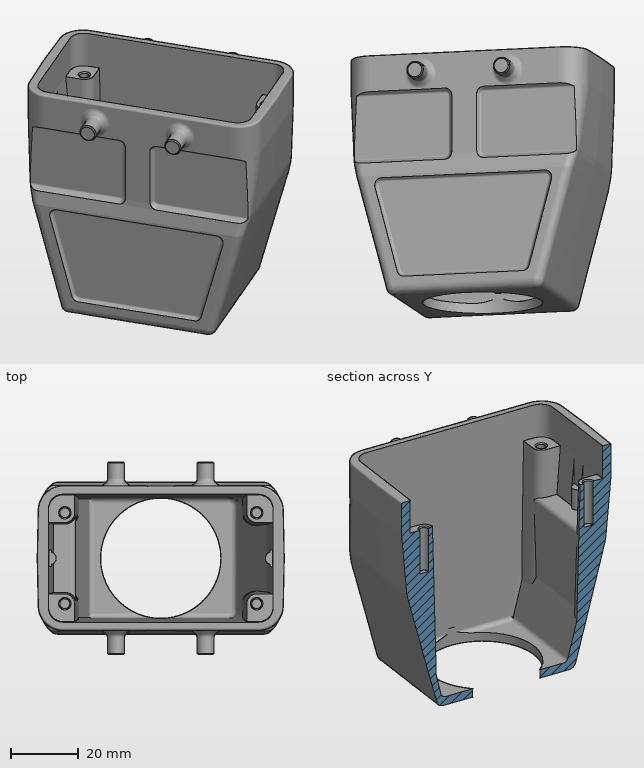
import cadquery as cq
import math

height = 72.0
half_length = 36.6
ridge = 0.3
pin_tip = 28.51

collar_z = 61.1
waist_z = 40.5
shoulder_z = 35.5

collar_y = 21.4
body_y = 22.51
waist_x = 34.7
end_slope = 0.267
collar_radius = 7.3
waist_radius = 2.8
body_radius = 2.5
waist_band = 1.75
bottom_fillet = 2.35
rim_fillet = 0.6

wall_x = 3.1
floor_z = 2.9
cavity_rim_y = 18.95
cavity_floor_y = 17.7
cavity_floor_x = 22.25
cavity_radius = 2.2
floor_fillet = 1.5
cable_hole_diameter = 35.6

pillar_x = 28.4
pillar_y = 13.5
pillar_radius = 2.9
pillar_top = collar_z
pillar_draft = 1.5
screw_diameter = 2.9
screw_depth = 14.65
screw_chamfer = 0.4

shelf_top = 45.4
shelf_inner_x = 25.2
shelf_foot_x = 20.9
shelf_foot_top = 19.0
shelf_fillet = 1.5

rib_radius = 1.9
rib_x = 32.9
channel_x = 33.15
channel_width = 5.0
rib_top = 52.2

pin_x = 13.25
pin_z = 65.8
pin_radius = 2.525
pin_flare = 2.2
pin_flare_radius = 1.5
pin_chamfer = 0.4

window_inner_x = 3.8
window_bottom = 39.8
window_depth = 1.4
trapezoid_top = 34.85
trapezoid_bottom = 4.9
trapezoid_margin = 5.4
trapezoid_depth = 1.1
panel_corner = 2.2
panel_draft = 35.0
panel_floor_fillet = 0.6


def end_x(z):
    """Half length of the outside at the end ridge, below the waist."""
    return waist_x - end_slope * (waist_z - z)


def section(half_x, half_y, radius, z, crown=0.0):
    """Rounded rectangle at height z; crown lifts the middle of both end sides."""
    x = half_x - crown
    bend = radius * (1 - math.sqrt(0.5))
    flat_x = x - radius
    flat_y = half_y - radius
    return (
        cq.Workplane("XY", origin=(0, 0, z))
        .moveTo(half_x, 0)
        .lineTo(x, flat_y)
        .threePointArc((x - bend, half_y - bend), (flat_x, half_y))
        .lineTo(-flat_x, half_y)
        .threePointArc((-x + bend, half_y - bend), (-x, flat_y))
        .lineTo(-half_x, 0)
        .lineTo(-x, -flat_y)
        .threePointArc((-x + bend, -half_y + bend), (-flat_x, -half_y))
        .lineTo(flat_x, -half_y)
        .threePointArc((x - bend, -half_y + bend), (x, -flat_y))
        .close()
        .val()
    )


def stack(sections):
    return cq.Workplane(cq.Solid.makeLoft(sections, True))


def blend(low, high, z_low, z_high, z):
    """Value at height z on a straight line between two heights."""
    return low + (high - low) * (z - z_low) / (z_high - z_low)


def make_outside():
    under = waist_z - waist_band / 2
    over = waist_z + waist_band / 2
    under_y = blend(body_y, collar_y, shoulder_z, waist_z, under)
    under_radius = blend(body_radius, waist_radius, shoulder_z, waist_z, under)
    over_x = blend(waist_x, half_length, waist_z, collar_z, over)
    over_radius = blend(waist_radius, collar_radius, waist_z, collar_z, over)
    shape = stack([
        section(end_x(0) - ridge, body_y, body_radius, 0),
        section(end_x(shoulder_z), body_y, body_radius, shoulder_z, ridge),
        section(end_x(under), under_y, under_radius, under, ridge),
        section(over_x, collar_y, over_radius, over, ridge),
        section(half_length, collar_y, collar_radius, collar_z, ridge),
        section(half_length, collar_y, collar_radius, height, ridge),
    ])
    return shape.faces("<Z").edges().fillet(bottom_fillet).faces(">Z").edges().fillet(rim_fillet)


def make_cavity():
    """Tapered hollow, with the blocks that stand inside it left out."""
    rim_x = half_length - ridge - wall_x
    rim_radius = collar_radius - wall_x
    waist_y, collar_inner_y = (
        blend(cavity_floor_y, cavity_rim_y, floor_z, height, z) for z in (waist_z, collar_z)
    )
    hollow = stack([
        section(cavity_floor_x, cavity_floor_y, cavity_radius, floor_z),
        section(waist_x - ridge - wall_x, waist_y, cavity_radius, waist_z),
        section(rim_x, collar_inner_y, rim_radius, collar_z),
        section(rim_x, cavity_rim_y, rim_radius, height),
    ])
    hollow = hollow.cut(make_pillars()).cut(make_shelf())
    hollow = hollow.faces("<Z").edges().fillet(floor_fillet)
    return hollow.union(make_channels()).cut(make_ribs())


def make_pillars():
    """Four drafted corner pillars, reaching past the cavity walls."""
    reach = 8.8
    pillars = cq.Workplane("XY")
    for side_x in (-1, 1):
        for side_y in (-1, 1):
            center_x = side_x * (pillar_x - pillar_radius + reach)
            center_y = side_y * (pillar_y - pillar_radius + reach)
            pillar = (
                cq.Workplane("XY", origin=(center_x, center_y, pillar_top))
                .sketch().rect(2 * reach, 2 * reach).vertices().fillet(pillar_radius).finalize()
                .extrude(-pillar_top, taper=-pillar_draft)
            )
            pillars = pillars.union(pillar)
    return pillars


def make_shelf():
    """Step across the -X end: a level top, a short upright face and a sloping foot."""
    return (
        cq.Workplane("XZ", origin=(0, body_y, 0))
        .moveTo(-half_length, 0)
        .lineTo(-shelf_foot_x, 0)
        .lineTo(-shelf_foot_x, floor_z)
        .lineTo(-shelf_inner_x, shelf_foot_top)
        .lineTo(-shelf_inner_x, shelf_top)
        .lineTo(-half_length, shelf_top)
        .close()
        .extrude(2 * body_y)
        .edges(">Z").edges(">X").fillet(shelf_fillet)
    )


def make_channels():
    """Upright grooves in the tapered end walls, from the rib tops up to the collar."""
    return (
        cq.Workplane("XY", origin=(0, 0, rib_top))
        .box(2 * channel_x, channel_width, pillar_top - rib_top, centered=(True, True, False))
        .cut(
            cq.Workplane("XY").box(2 * rib_x - 4 * rib_radius, channel_width, 2 * height)
        )
    )


def make_ribs():
    return (
        cq.Workplane("XY")
        .pushPoints([(-rib_x, 0), (rib_x, 0)])
        .circle(rib_radius).extrude(rib_top)
    )


def make_screw_holes():
    radius = screw_diameter / 2
    wide = radius + screw_chamfer
    hole = (
        cq.Workplane("XZ")
        .polyline([(0, 0), (wide, 0), (radius, -screw_chamfer), (radius, -screw_depth), (0, -screw_depth)])
        .close()
        .revolve(360, (0, 0, 0), (0, 1, 0))
    )
    holes = cq.Workplane("XY")
    for x in (-pillar_x, pillar_x):
        for y in (-pillar_y, pillar_y):
            holes = holes.union(hole.translate((x, y, pillar_top)))
    return holes


def make_pins():
    """Pins on both long sides, flared where they meet the collar."""
    root = collar_y - 0.7
    bend = pin_flare_radius * (1 - math.sqrt(0.5))
    cone_run = pin_flare - pin_flare_radius
    foot = pin_radius + pin_flare - math.sqrt(0.5) * pin_flare_radius
    pin = (
        cq.Workplane("XY")
        .moveTo(0, root)
        .lineTo(pin_radius + pin_flare, root)
        .lineTo(pin_radius + pin_flare, collar_y)
        .radiusArc((foot, collar_y + bend), pin_flare_radius)
        .lineTo(foot - cone_run, collar_y + bend + cone_run)
        .radiusArc((pin_radius, collar_y + pin_flare), pin_flare_radius)
        .lineTo(pin_radius, pin_tip - pin_chamfer)
        .lineTo(pin_radius - pin_chamfer, pin_tip)
        .lineTo(0, pin_tip)
        .close()
        .revolve(360, (0, 0, 0), (0, 1, 0))
    )
    pins = cq.Workplane("XY")
    for x in (-pin_x, pin_x):
        placed = pin.translate((x, 0, pin_z))
        pins = pins.union(placed).union(placed.mirror("XZ"))
    return pins


def sunk_panel(points, depth, corner):
    """Recess with drafted walls and a rounded floor, sunk from the front of the body."""
    recess = (
        cq.Workplane("XZ", origin=(0, -body_y, 0))
        .sketch().polygon(points + points[:1]).vertices().fillet(corner).finalize()
        .extrude(-depth, taper=panel_draft)
    )
    return recess.faces(">Y").edges().fillet(panel_floor_fillet)


def make_panels():
    far_x = half_length + 7.3
    step = body_y - collar_y
    spread = step * math.tan(math.radians(panel_draft))
    near_x = window_inner_x - spread
    low = window_bottom - spread
    high = collar_z + spread
    window = sunk_panel(
        [(near_x, low), (far_x, low), (far_x, high), (near_x, high)],
        window_depth + step, panel_corner + spread,
    )
    top_x = end_x(trapezoid_top) - trapezoid_margin
    bottom_x = end_x(trapezoid_bottom) - trapezoid_margin
    trapezoid = sunk_panel(
        [(-top_x, trapezoid_top), (-bottom_x, trapezoid_bottom),
         (bottom_x, trapezoid_bottom), (top_x, trapezoid_top)],
        trapezoid_depth, panel_corner,
    )
    front = window.union(window.mirror("YZ")).union(trapezoid)
    return front.union(front.mirror("XZ"))


cable_hole = cq.Workplane("XY").circle(cable_hole_diameter / 2).extrude(2 * floor_z)

result = (
    make_outside()
    .cut(make_panels())
    .union(make_pins())
    .cut(make_cavity())
    .cut(cable_hole)
    .cut(make_screw_holes())
)